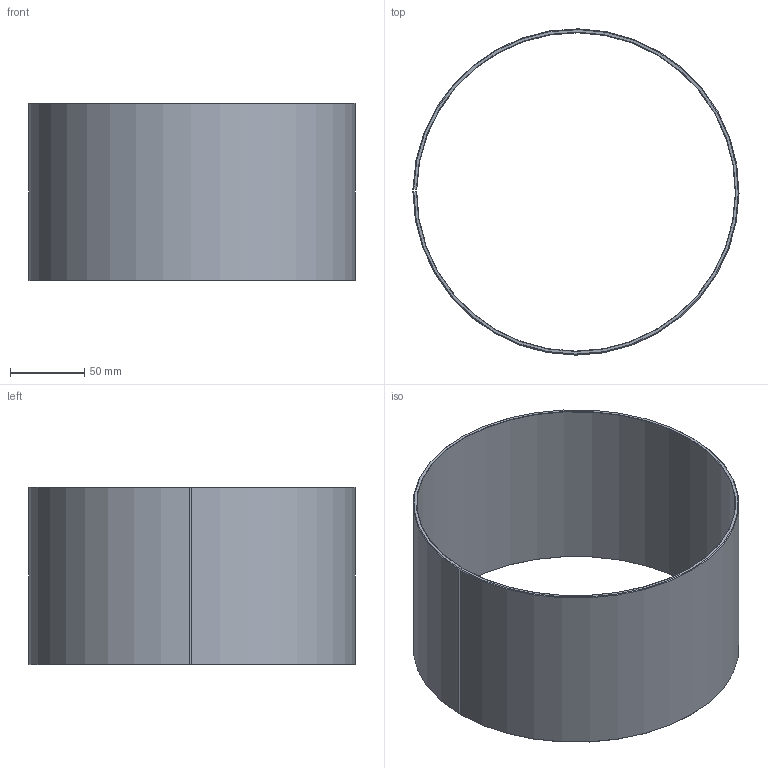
import cadquery as cq

outer_radius = 110.0
wall = 2.5
height = 120.0
outer_chamfer = 0.5
inner_chamfer = 0.2
slit_angle = 1.0

inner_radius = outer_radius - wall


def wall_section():
    """Chamfered cross-section of the wall, on the -X side of the XZ plane."""
    return (
        cq.Workplane("XZ")
        .moveTo(-outer_radius + outer_chamfer, 0)
        .lineTo(-inner_radius - inner_chamfer, 0)
        .lineTo(-inner_radius, inner_chamfer)
        .lineTo(-inner_radius, height - inner_chamfer)
        .lineTo(-inner_radius - inner_chamfer, height)
        .lineTo(-outer_radius + outer_chamfer, height)
        .lineTo(-outer_radius, height - outer_chamfer)
        .lineTo(-outer_radius, outer_chamfer)
        .close()
    )


def split_ring():
    """Revolve the wall section about Z, stopping short of a full turn to leave the slit."""
    axis_start = (0, 0, 0)
    axis_end = (0, 1, 0)
    return wall_section().revolve(360.0 - slit_angle, axis_start, axis_end)


result = split_ring()